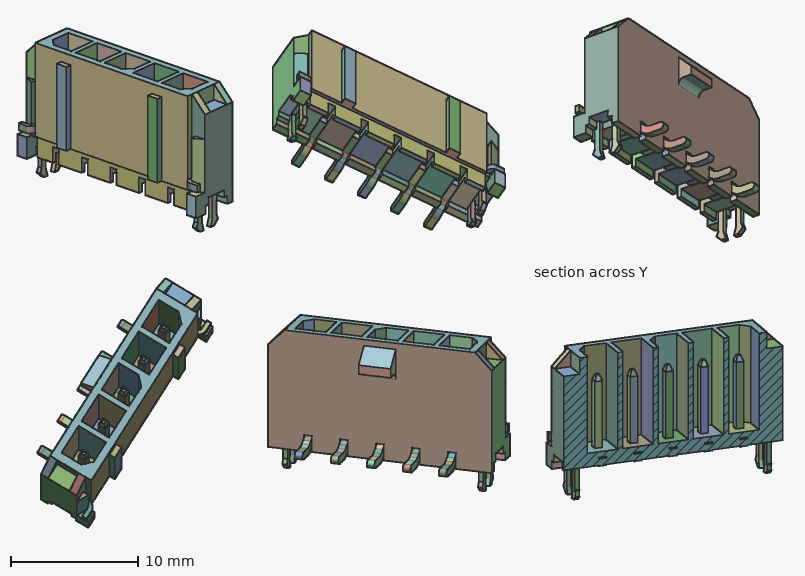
import cadquery as cq
import math


contact_count = 5
pitch = 3.0
contact_size = 0.64
contact_positions = [(i - (contact_count - 1) / 2) * pitch for i in range(contact_count)]

overall_length = 18.64
half_length = overall_length / 2
height = 9.92
half_depth = 1.91
wing_length = 1.36
body_half_length = half_length - wing_length
wing_front = -1.39
base_height = 1.86
base_setback = 0.24

wing_pocket_back = 1.25
wing_pocket_front = -0.72

well_size = 2.54
well_floor = base_height
well_chamfer = 0.7
polarised_sides = [-1, 0, 1, 0, 1]

rib_offset = 4.75
rib_width = 1.0
rib_front = -2.41
rib_top = 9.07
latch_width = 2.66
latch_back = 3.15
latch_top = 9.40
latch_bottom = 7.44
latch_nose_height = 0.75
latch_fillet = 0.5

clip_thickness = 0.39
block_inner = body_half_length + clip_thickness
block_front = -2.46
wedge_top = 6.42

channel_half_depth = 1.29
channel_height = 0.68
notch_half_depth = 0.905
notch_height = 1.305
contact_groove_height = 1.35

contact_underside = 0.62
contact_top = height - 2.0
tip_length = 0.5
tip_flat = 0.26
tail_end = 4.11
tail_tip_radius = 0.31
tail_bend_end = 2.86
tail_inner_radius = 0.77
tail_slope = math.radians(35)

leg_outer = 1.115
leg_inner = 0.61
leg_bottom = -1.98
barb_start = -1.1
barb_widest = -1.52
barb_half_depth = 1.30
tip_outer = 0.83
tip_inner = 0.40
inner_kink = -1.3
arm_bottom = 1.68
tab_bottom = 2.14
tab_top = 2.76
tab_front = -2.31
bend_outer_radius = 0.62
bend_inner_radius = bend_outer_radius - clip_thickness
arm_front = tab_front + bend_outer_radius


def box(x0, x1, y0, y1, z0, z1):
    """Axis-aligned block between two opposite corners."""
    return cq.Workplane("XY").box(x1 - x0, y1 - y0, z1 - z0, centered=False).translate((x0, y0, z0))


def both_ends(feature):
    """A right-end feature together with its mirror image at the left end."""
    return feature.union(feature.mirror("YZ"))


def shell():
    """Main block over the set-back base, with the two stepped wings."""
    block = box(-body_half_length, body_half_length, -half_depth, half_depth, 0, height)
    setback = box(-body_half_length, body_half_length, -half_depth, base_setback - half_depth, 0, base_height)
    wing = (
        cq.Workplane("XZ", origin=(0, half_depth, 0))
        .moveTo(body_half_length, 0)
        .lineTo(half_length, 0)
        .lineTo(half_length, height - wing_length)
        .lineTo(body_half_length, height)
        .close()
        .extrude(half_depth - wing_front)
    )
    wing_pocket = box(
        body_half_length, half_length, wing_pocket_front, wing_pocket_back, height - wing_length, height
    )
    return block.cut(setback).union(both_ends(wing.cut(wing_pocket)))


def corner_guard():
    """Foot block and the wedge rising from it, outside the right clip slot."""
    foot = box(block_inner, half_length, block_front, wing_front, 0, base_height)
    wedge = (
        cq.Workplane("XY", origin=(0, 0, base_height))
        .moveTo(half_length, wing_front)
        .lineTo(block_inner, wing_front)
        .lineTo(block_inner, -half_depth)
        .close()
        .extrude(wedge_top - base_height)
    )
    return foot.union(wedge)


def ribs():
    rib = box(
        rib_offset - rib_width / 2, rib_offset + rib_width / 2, rib_front, -half_depth, base_height, rib_top
    )
    return both_ends(rib)


def latch():
    """Rear catch with a sloped top and a filleted underside."""
    arc_middle = latch_fillet * (1 - math.sqrt(0.5))
    return (
        cq.Workplane("YZ", origin=(-latch_width / 2, 0, 0))
        .moveTo(half_depth, latch_top)
        .lineTo(latch_back, latch_bottom + latch_nose_height)
        .lineTo(latch_back, latch_bottom)
        .lineTo(half_depth + latch_fillet, latch_bottom)
        .threePointArc(
            (half_depth + arc_middle, latch_bottom - arc_middle),
            (half_depth, latch_bottom - latch_fillet),
        )
        .close()
        .extrude(latch_width)
    )


def well(x, polarised_side):
    """Square well; polarised_side is -1 or 1 for a chamfered front corner, 0 for none."""
    half = well_size / 2
    cavity = box(x - half, x + half, -half, half, well_floor, height)
    if polarised_side:
        corner = "<X" if polarised_side < 0 else ">X"
        cavity = cavity.edges("|Z and <Y").edges(corner).chamfer(well_chamfer)
    return cavity


def contact(x):
    """Pointed pin that turns to the rear and steps down to a flat solder tail."""
    half = contact_size / 2
    outer_radius = tail_inner_radius + contact_size
    sine = math.sin(tail_slope)
    cosine = math.cos(tail_slope)
    half_sine = math.sin(tail_slope / 2)
    half_cosine = math.cos(tail_slope / 2)
    slope_drop = contact_underside - (tail_inner_radius + outer_radius) * (1 - cosine)
    slope_run = slope_drop / math.tan(tail_slope)
    bend_start = tail_bend_end - (tail_inner_radius + outer_radius) * sine - slope_run
    lower_centre = contact_underside - tail_inner_radius
    upper_centre = outer_radius

    def first_bend(radius, s, c):
        return (bend_start + radius * s, lower_centre + radius * c)

    def second_bend(radius, s, c):
        return (tail_bend_end - radius * s, upper_centre - radius * c)

    shank_top = contact_top - tip_length
    profile = (
        cq.Workplane("YZ", origin=(x - half, 0, 0))
        .moveTo(-half, shank_top)
        .lineTo(-half, contact_underside)
        .lineTo(bend_start, contact_underside)
        .threePointArc(
            first_bend(tail_inner_radius, half_sine, half_cosine), first_bend(tail_inner_radius, sine, cosine)
        )
        .lineTo(*second_bend(outer_radius, sine, cosine))
        .threePointArc(second_bend(outer_radius, half_sine, half_cosine), (tail_bend_end, 0))
        .lineTo(tail_end, 0)
        .lineTo(tail_end, contact_size)
        .lineTo(tail_bend_end, contact_size)
        .threePointArc(
            second_bend(tail_inner_radius, half_sine, half_cosine),
            second_bend(tail_inner_radius, sine, cosine),
        )
        .lineTo(*first_bend(outer_radius, sine, cosine))
        .threePointArc(
            first_bend(outer_radius, half_sine, half_cosine), (bend_start, contact_underside + contact_size)
        )
        .lineTo(half, contact_underside + contact_size)
        .lineTo(half, shank_top)
        .close()
        .extrude(contact_size)
        .edges("|X and >Y")
        .fillet(tail_tip_radius)
    )
    tip = (
        cq.Workplane("XY", origin=(x, 0, shank_top))
        .rect(contact_size, contact_size)
        .workplane(offset=tip_length)
        .rect(tip_flat, tip_flat)
        .loft()
    )
    return profile.union(tip)


def contact_groove(x):
    """Opening through the front and rear base walls below one contact."""
    half = contact_size / 2
    return box(x - half, x + half, -half_depth, half_depth, 0, contact_groove_height)


def clip_plate():
    """Upright plate of the right clip, housed between the wing and the main block."""
    return box(body_half_length, block_inner, arm_front, leg_outer, arm_bottom, tab_top).union(
        box(body_half_length, block_inner, -leg_outer, leg_outer, notch_height, tab_top)
    )


def clip_leg():
    """Barbed leg on the rear half of the right clip."""
    return (
        cq.Workplane("YZ", origin=(body_half_length, 0, 0))
        .polyline(
            [
                (leg_outer, notch_height),
                (leg_outer, barb_start),
                (barb_half_depth, barb_widest),
                (tip_outer, leg_bottom),
                (tip_inner, leg_bottom),
                (leg_inner, inner_kink),
                (leg_inner, notch_height),
            ]
        )
        .close()
        .extrude(clip_thickness)
    )


def clip_tab():
    """Tab that bends outwards from the front of the right clip plate."""
    centre_x = body_half_length + bend_outer_radius
    diagonal = math.sqrt(0.5)
    return (
        cq.Workplane("XY", origin=(0, 0, tab_bottom))
        .moveTo(body_half_length, arm_front)
        .threePointArc(
            (centre_x - bend_outer_radius * diagonal, arm_front - bend_outer_radius * diagonal),
            (centre_x, tab_front),
        )
        .lineTo(half_length, tab_front)
        .lineTo(half_length, tab_front + clip_thickness)
        .lineTo(centre_x, tab_front + clip_thickness)
        .threePointArc(
            (centre_x - bend_inner_radius * diagonal, arm_front - bend_inner_radius * diagonal),
            (block_inner, arm_front),
        )
        .close()
        .extrude(tab_top - tab_bottom)
    )


def clip():
    leg = clip_leg()
    return clip_plate().union(leg).union(leg.mirror("XZ")).union(clip_tab())


def clip_slot():
    """Space for the right clip: plate pocket, leg room and the opening to the front."""
    legs = box(body_half_length, block_inner, -leg_outer, leg_outer, 0, notch_height)
    front = box(body_half_length, block_inner, block_front, -leg_outer, 0, arm_bottom)
    return clip_plate().union(legs).union(front)


def underside():
    """Full-length channel plus the narrower notch through each end wall."""
    channel = box(-half_length, half_length, -channel_half_depth, channel_half_depth, 0, channel_height)
    notch = box(body_half_length, half_length, -notch_half_depth, notch_half_depth, 0, notch_height)
    return channel.union(both_ends(notch))


housing = shell().union(both_ends(corner_guard())).union(ribs()).union(latch())
housing = housing.cut(underside()).cut(both_ends(clip_slot()))
for position, side in zip(contact_positions, polarised_sides):
    housing = housing.cut(well(position, side)).cut(contact_groove(position))
for position in contact_positions:
    housing = housing.union(contact(position))
housing = housing.union(clip())

left_clip = clip().mirror("YZ")
housing = housing.cut(left_clip)

result = cq.Compound.makeCompound([housing.val(), left_clip.val()])